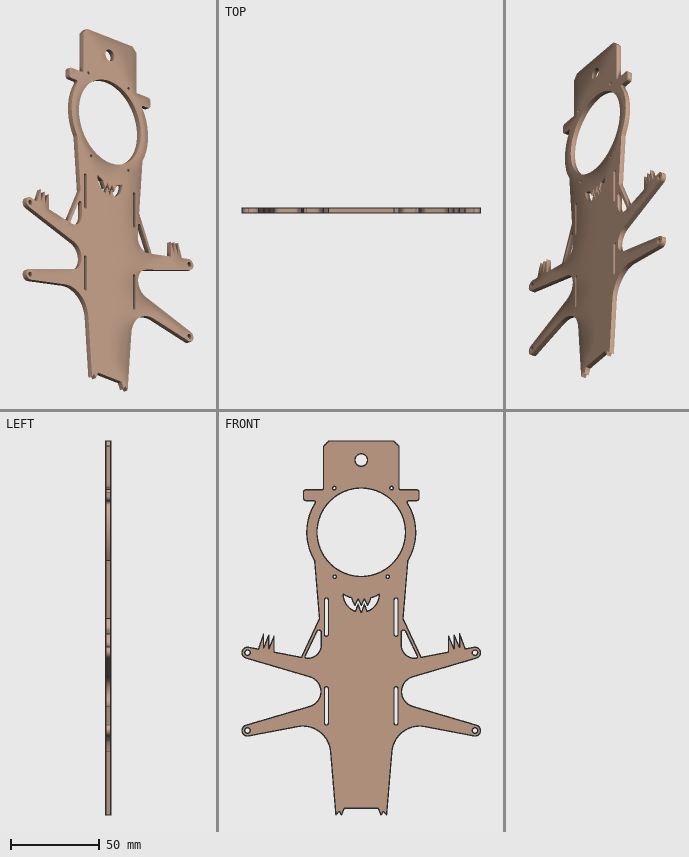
import cadquery as cq
import math

THICKNESS = 3.0
HEIGHT = 211.5

FOOT_HALF_WIDTH = 14.4
NECK_HALF_WIDTH = 26.5
NECK_Z = 144.2
SIDE_SLOPE = (NECK_HALF_WIDTH - FOOT_HALF_WIDTH) / NECK_Z
WAIST_RADIUS = 15.6

FOOT_NOTCH_HALF_WIDTH = 9.5
FOOT_NOTCH_Z = 3.8
INNER_BARB_X = 11.2
BARB_VALLEY_X = 12.5
BARB_VALLEY_Z = 2.1

RING_Z = 159.9
RING_OUTER_RADIUS = 30.9
RING_BORE_RADIUS = 25.0

TAB_HALF_WIDTH = 21.4
TAB_CHAMFER = 3.0
TAB_HOLE_Z = 200.7
TAB_HOLE_DIAMETER = 7.0

EAR_HALF_SPAN = 32.8
EAR_BOTTOM_Z = 177.6
EAR_TOP_Z = 184.0
EAR_RADIUS = 1.7
EAR_ROOT_RADIUS = 0.8

SCREW_HOLES = [(-15.2, 184.8), (17.1, 184.8), (-15.0, 134.7), (15.0, 134.7)]
SCREW_HOLE_DIAMETER = 2.0

ARM_MIRROR_Z = 69.8
ARM_TIP_X = 64.3
ARM_TIP_Z = 91.8
ARM_TIP_RADIUS = 3.2
ARM_HOLE_DIAMETER = 3.0
ARM_OUTER_ANGLE = math.radians(10.8)
ARM_INNER_ANGLE = math.radians(16.4)
ARM_NOTCH_RADIUS = 8.7

STRUT_TOP_Z = 111.0
STRUT_FOOT_X = 33.8
WINDOW_INNER_X = 22.6
WINDOW_APEX_Z = 109.0
WINDOW_OUTER_X = 32.1
WINDOW_TOP_RADIUS = 1.3
WINDOW_CORNER_RADIUS = 0.8
WINDOW_BOTTOM_RADIUS = 7.6

SLOT_X = 19.7
SLOT_LENGTH = 21.5
SLOT_WIDTH = 2.1
SLOT_CENTRES_Z = [111.9, 61.7]

COMB_INNER_X = 49.3
COMB_FIRST_TIP_Z = 101.3
COMB_VALLEY_LIFT = 1.3
COMB_SPIKES = 3
COMB_PITCH_LEFT = 3.0
COMB_PITCH_RIGHT = 3.2

MOUTH_HALF_WIDTH = 10.2
MOUTH_CORNER_Z = 124.8
MOUTH_UPPER_Z = 122.0
TOOTH_PITCH = 3.5
TOOTH_HALF_WIDTH = 1.7
UPPER_TOOTH_TIP_Z = 118.5
LOWER_TOOTH_TIP_Z = 119.3


def extrude(sketch):
    """Thicken a closed XZ sketch evenly about the middle plane."""
    return sketch.extrude(THICKNESS / 2, both=True)


def polygon(points):
    return extrude(cq.Workplane("XZ").polyline(points).close())


def discs(points, diameter):
    return extrude(cq.Workplane("XZ").pushPoints(points).circle(diameter / 2))


def round_corner(solid, point, radius):
    """Fillet the through-thickness edge nearest to an (x, z) point."""
    nearest = cq.selectors.NearestToPointSelector((point[0], 0, point[1]))
    return solid.edges("|Y").edges(nearest).fillet(radius)


def both_sides(solid):
    return solid.union(solid.mirror("YZ"))


def flip(point):
    """Mirror an upper-arm point onto the lower arm."""
    return (point[0], 2 * ARM_MIRROR_Z - point[1])


def side_x(z):
    """Half width of the body at height z."""
    return FOOT_HALF_WIDTH + SIDE_SLOPE * z


def from_tip(angle):
    """Point on the round end of the upper arm at the given polar angle."""
    return (
        ARM_TIP_X + ARM_TIP_RADIUS * math.cos(angle),
        ARM_TIP_Z + ARM_TIP_RADIUS * math.sin(angle),
    )


ARM_OUTER_TANGENT = from_tip(ARM_OUTER_ANGLE + math.pi / 2)
ARM_INNER_TANGENT = from_tip(ARM_INNER_ANGLE - math.pi / 2)
ARM_END = from_tip(0)


def arm_top_z(x):
    """Height of the upper edge of the upper arm at x."""
    return ARM_OUTER_TANGENT[1] + (x - ARM_OUTER_TANGENT[0]) * math.tan(ARM_OUTER_ANGLE)


def make_half_body():
    rise = ARM_INNER_TANGENT[1] - ARM_MIRROR_Z
    apex_x = ARM_INNER_TANGENT[0] - rise / math.tan(ARM_INNER_ANGLE)
    notch_x = apex_x + ARM_NOTCH_RADIUS / math.sin(ARM_INNER_ANGLE)
    notch_tangent = (
        notch_x - ARM_NOTCH_RADIUS * math.sin(ARM_INNER_ANGLE),
        ARM_MIRROR_Z + ARM_NOTCH_RADIUS * math.cos(ARM_INNER_ANGLE),
    )
    notch_bottom = (notch_x - ARM_NOTCH_RADIUS, ARM_MIRROR_Z)

    arm_slope = math.tan(ARM_OUTER_ANGLE)
    waist_z = (2 * ARM_MIRROR_Z - arm_top_z(FOOT_HALF_WIDTH)) / (1 + arm_slope * SIDE_SLOPE)
    waist = (side_x(waist_z), waist_z)

    outline = (
        cq.Workplane("XZ")
        .moveTo(0, FOOT_NOTCH_Z)
        .lineTo(FOOT_NOTCH_HALF_WIDTH, FOOT_NOTCH_Z)
        .lineTo(INNER_BARB_X, 0)
        .lineTo(BARB_VALLEY_X, BARB_VALLEY_Z)
        .lineTo(FOOT_HALF_WIDTH, 0)
        .lineTo(*waist)
        .lineTo(*flip(ARM_OUTER_TANGENT))
        .threePointArc(flip(ARM_END), flip(ARM_INNER_TANGENT))
        .lineTo(*flip(notch_tangent))
        .threePointArc(notch_bottom, notch_tangent)
        .lineTo(*ARM_INNER_TANGENT)
        .threePointArc(ARM_END, ARM_OUTER_TANGENT)
        .lineTo(STRUT_FOOT_X, arm_top_z(STRUT_FOOT_X))
        .lineTo(side_x(STRUT_TOP_Z), STRUT_TOP_Z)
        .lineTo(NECK_HALF_WIDTH, NECK_Z)
        .lineTo(0, NECK_Z)
        .close()
    )
    return round_corner(extrude(outline), waist, WAIST_RADIUS)


def make_head():
    ring = discs([(0, RING_Z)], 2 * RING_OUTER_RADIUS)
    tab = polygon([
        (-TAB_HALF_WIDTH, RING_Z),
        (TAB_HALF_WIDTH, RING_Z),
        (TAB_HALF_WIDTH, HEIGHT),
        (-TAB_HALF_WIDTH, HEIGHT),
    ])
    tab = tab.edges("|Y and >Z").chamfer(TAB_CHAMFER)
    ears = polygon([
        (-EAR_HALF_SPAN, EAR_BOTTOM_Z),
        (EAR_HALF_SPAN, EAR_BOTTOM_Z),
        (EAR_HALF_SPAN, EAR_TOP_Z),
        (-EAR_HALF_SPAN, EAR_TOP_Z),
    ])
    ears = ears.edges("|Y").fillet(EAR_RADIUS)
    head = ring.union(tab).union(ears)

    ring_root_x = math.sqrt(RING_OUTER_RADIUS**2 - (EAR_BOTTOM_Z - RING_Z) ** 2)
    for side in (-1, 1):
        head = round_corner(head, (side * TAB_HALF_WIDTH, EAR_TOP_Z), EAR_ROOT_RADIUS)
        head = round_corner(head, (side * ring_root_x, EAR_BOTTOM_Z), EAR_ROOT_RADIUS)
    return head


def make_comb(side, pitch):
    """Saw-tooth spikes with upright inner flanks, climbing along the arm."""
    climb = pitch * math.tan(ARM_OUTER_ANGLE)
    points = [(side * COMB_INNER_X, arm_top_z(COMB_INNER_X) - ARM_TIP_RADIUS)]
    for i in range(COMB_SPIKES):
        x = COMB_INNER_X + i * pitch
        if i > 0:
            points.append((side * x, arm_top_z(x) + COMB_VALLEY_LIFT))
        points.append((side * x, COMB_FIRST_TIP_Z + i * climb))
    outer_x = COMB_INNER_X + COMB_SPIKES * pitch
    points.append((side * outer_x, arm_top_z(outer_x)))
    points.append((side * outer_x, arm_top_z(outer_x) - ARM_TIP_RADIUS))
    return polygon(points)


def make_window():
    """Opening between the strut, the body and the upper arm."""
    apex = (WINDOW_INNER_X, WINDOW_APEX_Z)
    outer = (WINDOW_OUTER_X, arm_top_z(WINDOW_OUTER_X))
    inner = (WINDOW_INNER_X, arm_top_z(WINDOW_INNER_X))
    window = polygon([apex, outer, inner])
    window = round_corner(window, inner, WINDOW_BOTTOM_RADIUS)
    window = round_corner(window, outer, WINDOW_CORNER_RADIUS)
    return round_corner(window, apex, WINDOW_TOP_RADIUS)


def make_slots():
    centres = [(side * SLOT_X, z) for side in (-1, 1) for z in SLOT_CENTRES_Z]
    slots = cq.Workplane("XZ").pushPoints(centres)
    return extrude(slots.slot2D(SLOT_LENGTH, SLOT_WIDTH, 90))


def make_mouth():
    """Crescent opening with three teeth above and two below."""
    bottom_z = MOUTH_CORNER_Z - MOUTH_HALF_WIDTH
    mouth = extrude(
        cq.Workplane("XZ")
        .moveTo(-MOUTH_HALF_WIDTH, MOUTH_CORNER_Z)
        .threePointArc((0, MOUTH_UPPER_Z), (MOUTH_HALF_WIDTH, MOUTH_CORNER_Z))
        .threePointArc((0, bottom_z), (-MOUTH_HALF_WIDTH, MOUTH_CORNER_Z))
        .close()
    )
    upper_heights = (MOUTH_CORNER_Z, MOUTH_UPPER_Z, UPPER_TOOTH_TIP_Z)
    lower_heights = (bottom_z - TOOTH_HALF_WIDTH, bottom_z, LOWER_TOOTH_TIP_Z)
    teeth = [(step * TOOTH_PITCH, *upper_heights) for step in (-1, 0, 1)]
    teeth += [(step * TOOTH_PITCH, *lower_heights) for step in (-0.5, 0.5)]
    for x, root_z, gum_z, tip_z in teeth:
        mouth = mouth.cut(polygon([
            (x - TOOTH_HALF_WIDTH, root_z),
            (x - TOOTH_HALF_WIDTH, gum_z),
            (x, tip_z),
            (x + TOOTH_HALF_WIDTH, gum_z),
            (x + TOOTH_HALF_WIDTH, root_z),
        ]))
    return mouth


upper_tips = [(side * ARM_TIP_X, ARM_TIP_Z) for side in (-1, 1)]
arm_tips = upper_tips + [flip(tip) for tip in upper_tips]

plate = both_sides(make_half_body()).union(make_head())
plate = plate.union(make_comb(-1, COMB_PITCH_LEFT)).union(make_comb(1, COMB_PITCH_RIGHT))
plate = plate.cut(both_sides(make_window()))
plate = plate.cut(make_slots()).cut(make_mouth())
plate = plate.cut(discs([(0, RING_Z)], 2 * RING_BORE_RADIUS))
plate = plate.cut(discs([(0, TAB_HOLE_Z)], TAB_HOLE_DIAMETER))
plate = plate.cut(discs(SCREW_HOLES, SCREW_HOLE_DIAMETER))
plate = plate.cut(discs(arm_tips, ARM_HOLE_DIAMETER))

result = plate